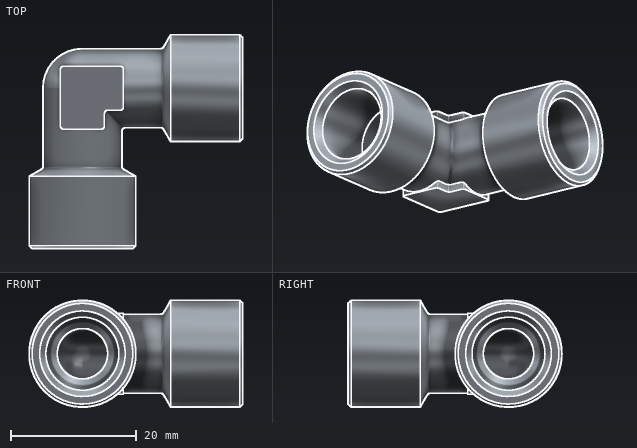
import cadquery as cq
import math

arm_length = 25.5
collar_radius = 8.5
collar_start = 14.0
collar_end_chamfer = 0.5
pipe_radius = 6.3
cone_half_angle = 60.0
blend_radius = 0.5
crease_radius = 0.5

passage_radius = 4.0
socket_radius = 5.8
socket_depth = 11.5
mouth_radius = 6.8
mouth_depth = 1.0
drill_half_angle = 59.0

pad_height = 6.45
pad_near = 3.5
pad_far = 6.5
pad_corner_radius = 0.5

cone_length = (collar_radius - pipe_radius) / math.tan(math.radians(cone_half_angle))
drill_tip_length = (socket_radius - passage_radius) / math.tan(math.radians(drill_half_angle))


def revolve_about_x(points):
    """Solid of revolution about X from (x, radius) points, starting and ending on the axis."""
    return cq.Workplane("XY").polyline(points).close().revolve(360, (0, 0, 0), (1, 0, 0))


def turned_to_minus_y(arm):
    """Copy of an X arm swung onto the -Y axis."""
    return arm.rotate((0, 0, 0), (0, 0, 1), -90)


def both_arms(arm):
    return arm.union(turned_to_minus_y(arm))


def make_pipe():
    return revolve_about_x([(0, 0), (0, pipe_radius), (collar_start, pipe_radius), (collar_start, 0)])


def make_collar():
    """Collar with its rear cone and the concave blend that leads from the pipe into the cone."""
    cone_foot = collar_start - cone_length
    angle = math.radians(cone_half_angle)
    tangent_length = blend_radius * math.tan(angle / 2)
    blend_start = cone_foot - tangent_length
    blend_center_radius = pipe_radius + blend_radius

    def blend_point(turn):
        return (
            blend_start + blend_radius * math.sin(turn),
            blend_center_radius - blend_radius * math.cos(turn),
        )

    return (
        cq.Workplane("XY")
        .moveTo(blend_start, 0)
        .lineTo(*blend_point(0))
        .threePointArc(blend_point(angle / 2), blend_point(angle))
        .lineTo(collar_start, collar_radius)
        .lineTo(arm_length - collar_end_chamfer, collar_radius)
        .lineTo(arm_length, collar_radius - collar_end_chamfer)
        .lineTo(arm_length, 0)
        .close()
        .revolve(360, (0, 0, 0), (1, 0, 0))
    )


def make_bore():
    """Passage, wider socket with a drill-point floor, and flared mouth."""
    socket_floor = arm_length - socket_depth
    return revolve_about_x([
        (0, 0),
        (0, passage_radius),
        (socket_floor - drill_tip_length, passage_radius),
        (socket_floor, socket_radius),
        (arm_length - mouth_depth, socket_radius),
        (arm_length, mouth_radius),
        (arm_length, 0),
    ])


def make_bend():
    """Pipes joined by a ball at the outer corner, meeting in a crease at the inner corner."""
    pipes = both_arms(make_pipe())
    return pipes.union(cq.Workplane("XY").sphere(pipe_radius))


def make_pads():
    """L-shaped block whose top and bottom faces form the two flats."""
    return (
        cq.Workplane("XY", origin=(0, 0, -pad_height))
        .moveTo(-pad_near, pad_near)
        .lineTo(pad_far, pad_near)
        .lineTo(pad_far, -pad_near)
        .lineTo(pad_near, -pad_near)
        .lineTo(pad_near, -pad_far)
        .lineTo(-pad_near, -pad_far)
        .close()
        .extrude(2 * pad_height)
        .edges("|Z")
        .fillet(pad_corner_radius)
    )


def round_inner_crease(bend):
    """Round the crease between the two pipes, which lies in the plane x = -y on the inner side."""
    middle = pipe_radius / 2
    halves = [
        bend.edges(cq.selectors.NearestToPointSelector((pipe_radius, -pipe_radius, side * middle))).val()
        for side in (1, -1)
    ]
    return bend.newObject(halves).fillet(crease_radius)


body = round_inner_crease(make_bend().union(make_pads()))
outside = body.union(both_arms(make_collar()))
inside = both_arms(make_bore()).union(cq.Workplane("XY").sphere(passage_radius))
result = outside.cut(inside)